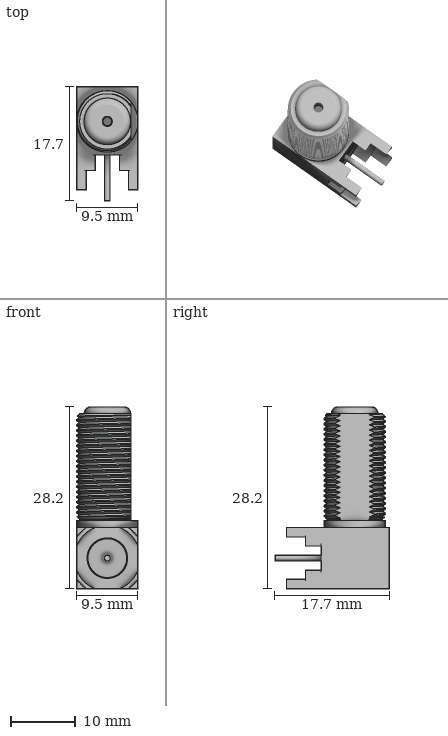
import cadquery as cq
import math


total_height = 28.2

housing_width = 9.5
housing_height = housing_width
housing_back = 5.4
face_depth = 5.22
short_leg_depth = 7.65
long_leg_depth = 10.6
inner_relief_radius = 5.1
outer_relief_radius = 5.75

axis_height = housing_height / 2
pin_diameter = 0.9
pin_depth = 12.32
insulator_diameter = 6.0
insulator_recess = 0.15

major_radius = housing_width / 2
flange_height = 1.05
dome_height = 1.07
flange_top = housing_height + flange_height
barrel_top = total_height - dome_height
gauge_length = 12.7
turns_per_gauge = 16
thread_pitch = gauge_length / turns_per_gauge
thread_depth = 0.42
crest_width = 0.17
root_radius = major_radius - thread_depth
thread_turns = 25
turns_below_crest = 22
groove_overshoot = 0.08
neck_radius = 4.3
neck_height = 0.23
flat_offset = 3.7
crest_height = 26.1

dome_radius = 3.6
contact_mouth_diameter = 1.55
contact_hole_diameter = 1.35
contact_taper_depth = 0.6
contact_hole_depth = 2.25


def cylinder_along_y(radius, y_front, y_back):
    """Cylinder on the pin axis between two Y positions."""
    return (
        cq.Workplane("XZ", origin=(0, y_back, axis_height))
        .circle(radius)
        .extrude(y_back - y_front)
    )


def make_housing():
    """Square block whose front end is bored away in two steps to leave four corner legs."""
    block = cq.Workplane("XY").box(
        housing_width, housing_back + long_leg_depth, housing_height, centered=(True, False, False)
    ).translate((0, -long_leg_depth, 0))
    block = block.cut(cylinder_along_y(inner_relief_radius, -long_leg_depth, -face_depth))
    block = block.cut(cylinder_along_y(outer_relief_radius, -long_leg_depth, -short_leg_depth))
    recess = (
        cq.Workplane("XZ", origin=(0, -face_depth + insulator_recess, axis_height))
        .circle(insulator_diameter / 2)
        .workplane(offset=insulator_recess)
        .circle(insulator_diameter / 2 + insulator_recess)
        .loft(ruled=True)
    )
    pin = cylinder_along_y(pin_diameter / 2, -pin_depth, 0)
    return block.cut(recess).union(pin)


def make_thread_stock():
    """Overlong cylinder with a right-handed V groove that starts and ends inside it."""
    lowest_groove = crest_height + thread_pitch / 2 - turns_below_crest * thread_pitch
    groove_length = thread_turns * thread_pitch
    flank_slope = (thread_pitch - crest_width) / 2 / thread_depth
    half_opening = flank_slope * (thread_depth + groove_overshoot)
    mouth_radius = major_radius + groove_overshoot
    helix = cq.Wire.makeHelix(thread_pitch, groove_length, root_radius)
    groove = (
        cq.Workplane("XZ")
        .moveTo(root_radius, 0)
        .lineTo(mouth_radius, half_opening)
        .lineTo(mouth_radius, -half_opening)
        .close()
        .sweep(cq.Workplane(obj=helix), isFrenet=True)
        .rotate((0, 0, 0), (0, 0, 1), 180)
        .translate((0, 0, lowest_groove))
    )
    spare = 2 * thread_pitch
    stock = (
        cq.Workplane("XY", origin=(0, 0, lowest_groove - spare))
        .circle(major_radius)
        .extrude(groove_length + 2 * spare)
    )
    return stock.cut(groove)


def make_end_trim(cone_start, direction):
    """Ring that turns a barrel end down to the neck radius with a 45 degree lead.

    The cone leaves the neck radius at height cone_start and widens away from the barrel end,
    which lies toward direction (+1 up, -1 down).
    """
    lead = 2 * thread_depth
    return (
        cq.Workplane("XZ")
        .moveTo(neck_radius, cone_start)
        .lineTo(neck_radius + lead, cone_start - direction * lead)
        .lineTo(neck_radius + lead, cone_start + direction * lead)
        .lineTo(neck_radius, cone_start + direction * lead)
        .close()
        .revolve(360, (0, 0), (0, 1))
    )


def make_barrel():
    """Threaded barrel with a neck at the bottom, a lead at both ends and one milled flat."""
    thread_zone = (
        cq.Workplane("XY", origin=(0, 0, flange_top))
        .rect(2 * housing_width, 2 * housing_width)
        .extrude(barrel_top - flange_top)
    )
    beyond_flat = cq.Workplane("XY", origin=(flat_offset, 0, 0)).box(
        housing_width, 2 * housing_width, 2 * total_height, centered=(False, True, True)
    )
    return (
        make_thread_stock()
        .intersect(thread_zone)
        .cut(beyond_flat)
        .cut(make_end_trim(barrel_top, 1))
        .cut(make_end_trim(flange_top + neck_height, -1))
    )


def make_dome():
    """Insulator cap with a fully rounded rim."""
    rim_diagonal = math.sqrt(0.5) * dome_height
    rim_centre = dome_radius - dome_height
    return (
        cq.Workplane("XZ")
        .moveTo(0, barrel_top)
        .lineTo(dome_radius, barrel_top)
        .threePointArc((rim_centre + rim_diagonal, barrel_top + rim_diagonal), (rim_centre, total_height))
        .lineTo(0, total_height)
        .close()
        .revolve(360, (0, 0), (0, 1))
    )


def make_contact_hole():
    """Blind hole down the barrel axis whose upper part tapers inward."""
    hole_radius = contact_hole_diameter / 2
    return (
        cq.Workplane("XZ")
        .moveTo(0, total_height)
        .lineTo(contact_mouth_diameter / 2, total_height)
        .lineTo(hole_radius, total_height - contact_taper_depth)
        .lineTo(hole_radius, total_height - contact_hole_depth)
        .lineTo(0, total_height - contact_hole_depth)
        .close()
        .revolve(360, (0, 0), (0, 1))
    )


flange = cq.Workplane("XY", origin=(0, 0, housing_height)).circle(major_radius).extrude(flange_height)

result = make_housing().union(flange).union(make_barrel()).union(make_dome()).cut(make_contact_hole())